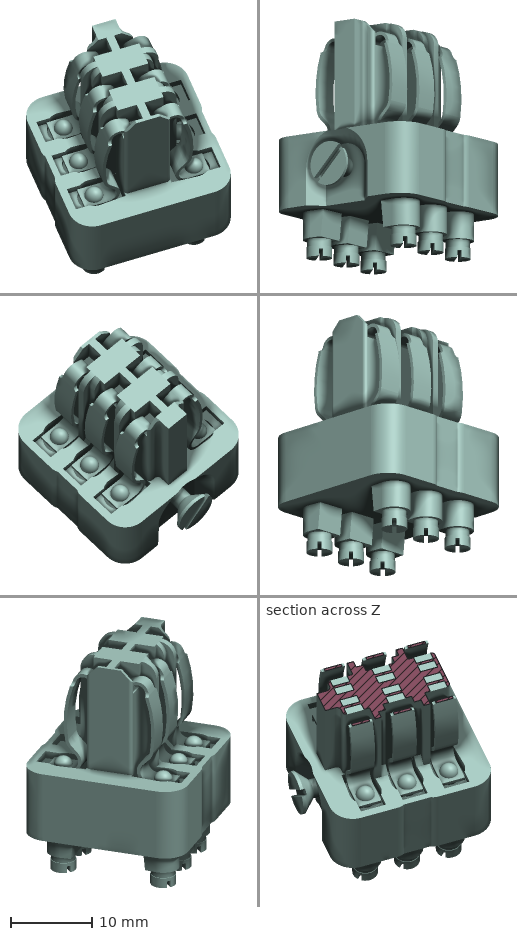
import cadquery as cq
import math

BLOCK_SIZE = 21.0
BLOCK_HEIGHT = 9.0
BLOCK_CORNER_RADIUS = 3.0
SIDE_RECESS_INNER_HALF = 1.77
SIDE_RECESS_OUTER_HALF = 2.65
SIDE_RECESS_DEPTH = 0.23

OVERALL_HEIGHT = 28.6
TOP_Z = 22.97
CONTACT_PITCH = 5.5
CONTACT_Y = 6.55

BAR_END_X = 8.92
BAR_HALF_WIDTH = 1.55
CORE_HALF_WIDTH = 3.0
CORE_HALF_LENGTH = 7.04
CORE_INNER_FILLET = 0.55
CORE_OUTER_FILLET = 0.45
SLOT_WIDTH = 2.2
SLOT_INNER_Y = 0.51
SLOT_FLOOR_Z = 19.88

SCREWDRIVER_SLOT_ANGLE = 45

FIN_INNER_X = 1.85
FIN_SPLIT_X = 2.77
FIN_OUTER_X = 3.65
TALL_FIN_REACH = 4.98
TALL_FIN_ARC_Z = 20.95
LOW_FIN_REACH = 4.0
LOW_FIN_ARC_Z = 21.2

WELL_RADIUS = 2.03
WELL_SIDE_DRAFT = 4
WELL_FLOOR_Z = 7.3
STRIP_REST_Z = 8.07
END_POCKET_WIDTH = 3.3
END_POCKET_OUTER_Y = 9.5

STRIP_WIDTH = 3.03
STRIP_THICKNESS = 0.43
STRIP_END_Y = 8.2
NECK_WIDTH = 2.0
SHOULDER_Z = 19.82
CROWN_Y = 3.55
CROWN_TOP_Z = 21.48
CROWN_RADIUS = 1.2
CROWN_OUTER_ANGLE = 68
CROWN_INNER_ANGLE = 22
CROWN_FLAT_LENGTH = 0.83
HOOK_RADIUS = 0.85
BOW_RADIUS = 15.02
BOW_LOWER_ANGLE = 9
KNEE_RADIUS = 1.77
KNEE_ANGLE = 45
FOOT_RADIUS = 1.45
DOME_RADIUS = 1.17
DOME_RISE = 0.5
DOME_TOP_Z = BLOCK_HEIGHT + DOME_RISE

BOSS_LENGTH = 3.37
BOSS_INNER_Y_TOP = 4.5
BOSS_INNER_Y_BOTTOM = 4.85
PIN_NECK_DIAMETER = 3.0
PIN_COLLAR_DIAMETER = 3.2
PIN_COLLAR_LENGTH = 1.32
PIN_LENGTH = OVERALL_HEIGHT - TOP_Z
PIN_SLOT_WIDTH = 0.51
PIN_SLOT_DEPTH = 0.9

SCREW_PROTRUSION = 1.72
SCREW_HEAD_DIAMETER = 5.5
SCREW_SHANK_DIAMETER = 2.4
SCREW_RIM_THICKNESS = 0.43
SCREW_SLOT_WIDTH = 0.85
SCREW_SLOT_DEPTH = 0.72
SCREW_RECESS_RADIUS = 4.75
SCREW_RECESS_FLOOR_RADIUS = 3.0

HALF_BLOCK = BLOCK_SIZE / 2
SCREW_Z = BLOCK_HEIGHT / 2
SCREW_RECESS_DEPTH = SCREW_RECESS_RADIUS - SCREW_RECESS_FLOOR_RADIUS
CONTACT_XS = [i * CONTACT_PITCH for i in (-1, 0, 1)]
OVERLAP = 0.15


def box(x0, x1, y0, y1, z0, z1):
    return cq.Workplane("XY").box(x1 - x0, y1 - y0, z1 - z0, centered=False).translate((x0, y0, z0))


def with_y_mirror(shape):
    return shape.union(shape.mirror("XZ"))


def at_contacts(shape):
    """Repeat a shape built at X = 0 for the three contacts on both sides."""
    pair = with_y_mirror(shape)
    row = cq.Workplane("XY")
    for x in CONTACT_XS:
        row = row.union(pair.translate((x, 0, 0)))
    return row


def make_block():
    block = box(-HALF_BLOCK, HALF_BLOCK, -HALF_BLOCK, HALF_BLOCK, 0, BLOCK_HEIGHT)
    block = block.edges("|Z").fillet(BLOCK_CORNER_RADIUS)
    run = SIDE_RECESS_OUTER_HALF - SIDE_RECESS_INNER_HALF
    flank_radius = (run**2 + SIDE_RECESS_DEPTH**2) / (2 * SIDE_RECESS_DEPTH)
    floor_y = HALF_BLOCK - SIDE_RECESS_DEPTH
    recess = (
        cq.Workplane("XY")
        .moveTo(-SIDE_RECESS_OUTER_HALF, HALF_BLOCK)
        .radiusArc((-SIDE_RECESS_INNER_HALF, floor_y), flank_radius)
        .lineTo(SIDE_RECESS_INNER_HALF, floor_y)
        .radiusArc((SIDE_RECESS_OUTER_HALF, HALF_BLOCK), flank_radius)
        .close()
        .extrude(BLOCK_HEIGHT)
    )
    return block.cut(with_y_mirror(recess))


def make_screw_recess():
    """Countersunk recess around the screw, running out through the bottom of the block."""
    cone = cq.Workplane(
        cq.Solid.makeCone(
            SCREW_RECESS_RADIUS, SCREW_RECESS_FLOOR_RADIUS, SCREW_RECESS_DEPTH,
            cq.Vector(-HALF_BLOCK, 0, SCREW_Z), cq.Vector(1, 0, 0),
        )
    )
    floor_x = -HALF_BLOCK + SCREW_RECESS_DEPTH
    channel = (
        cq.Workplane("XY")
        .polyline([
            (-HALF_BLOCK, -SCREW_RECESS_RADIUS),
            (floor_x, -SCREW_RECESS_FLOOR_RADIUS),
            (floor_x, SCREW_RECESS_FLOOR_RADIUS),
            (-HALF_BLOCK, SCREW_RECESS_RADIUS),
        ])
        .close()
        .extrude(SCREW_Z)
    )
    return cone.union(channel)


def make_screw():
    head_x = -HALF_BLOCK - SCREW_PROTRUSION
    head_radius = SCREW_HEAD_DIAMETER / 2
    shank_radius = SCREW_SHANK_DIAMETER / 2
    cone_x = head_x + SCREW_RIM_THICKNESS
    shank_x = cone_x + head_radius - shank_radius
    end_x = -HALF_BLOCK + SCREW_RECESS_DEPTH + OVERLAP
    screw = (
        cq.Workplane("XY")
        .polyline([
            (head_x, 0), (head_x, head_radius), (cone_x, head_radius),
            (shank_x, shank_radius), (end_x, shank_radius), (end_x, 0),
        ])
        .close()
        .revolve(360, (0, 0, 0), (1, 0, 0))
    )
    slot = box(
        head_x, head_x + SCREW_SLOT_DEPTH,
        -SCREW_SLOT_WIDTH / 2, SCREW_SLOT_WIDTH / 2,
        -SCREW_HEAD_DIAMETER, SCREW_HEAD_DIAMETER,
    ).rotate((0, 0, 0), (1, 0, 0), SCREWDRIVER_SLOT_ANGLE)
    return screw.cut(slot).translate((0, 0, SCREW_Z))


def make_core():
    height = TOP_Z - BLOCK_HEIGHT + OVERLAP
    z0 = BLOCK_HEIGHT - OVERLAP
    body = box(-CORE_HALF_LENGTH, CORE_HALF_LENGTH, -CORE_HALF_WIDTH, CORE_HALF_WIDTH, z0, z0 + height)
    body = body.edges("|Z").fillet(CORE_OUTER_FILLET)
    bar = box(-BAR_END_X, 0, -BAR_HALF_WIDTH, BAR_HALF_WIDTH, z0, z0 + height)
    core = body.union(bar)
    corner = cq.selectors.BoxSelector(
        (-CORE_HALF_LENGTH - OVERLAP, -BAR_HALF_WIDTH - OVERLAP, z0),
        (-CORE_HALF_LENGTH + OVERLAP, BAR_HALF_WIDTH + OVERLAP, TOP_Z),
    )
    core = core.edges("|Z").edges(corner).fillet(CORE_INNER_FILLET)

    bevel_size = CORE_HALF_WIDTH - BAR_HALF_WIDTH
    wall_x = CONTACT_PITCH + SLOT_WIDTH / 2
    bevel = (
        cq.Workplane("YZ")
        .polyline([
            (BAR_HALF_WIDTH, TOP_Z), (CORE_HALF_WIDTH, TOP_Z), (CORE_HALF_WIDTH, TOP_Z - bevel_size),
        ])
        .close()
        .extrude(BAR_END_X - wall_x)
        .translate((wall_x, 0, 0))
    )
    bevel = with_y_mirror(bevel)
    core = core.cut(bevel).cut(bevel.mirror("YZ"))

    slot = box(-SLOT_WIDTH / 2, SLOT_WIDTH / 2, SLOT_INNER_Y, CORE_HALF_WIDTH, SLOT_FLOOR_Z, TOP_Z)
    return core.cut(at_contacts(slot))


def make_fin(x0, x1, reach, arc_z):
    """Plate with an upright face that curves inward from arc_z to the top edge of the core."""
    z0 = BLOCK_HEIGHT - OVERLAP
    return (
        cq.Workplane("YZ")
        .moveTo(0, z0)
        .lineTo(reach, z0)
        .lineTo(reach, arc_z)
        .tangentArcPoint((CORE_HALF_WIDTH, TOP_Z), relative=False)
        .lineTo(0, TOP_Z)
        .close()
        .extrude(x1 - x0)
        .translate((x0, 0, 0))
    )


def make_fins():
    tall = make_fin(FIN_SPLIT_X, FIN_OUTER_X, TALL_FIN_REACH, TALL_FIN_ARC_Z)
    low = make_fin(FIN_INNER_X, FIN_SPLIT_X, LOW_FIN_REACH, LOW_FIN_ARC_Z)
    ramp_size = TALL_FIN_REACH - LOW_FIN_REACH
    ramp = (
        cq.Workplane("YZ")
        .polyline([
            (0, BLOCK_HEIGHT - OVERLAP), (TALL_FIN_REACH, BLOCK_HEIGHT - OVERLAP),
            (TALL_FIN_REACH, BLOCK_HEIGHT), (LOW_FIN_REACH, BLOCK_HEIGHT + ramp_size),
            (0, BLOCK_HEIGHT + ramp_size),
        ])
        .close()
        .extrude(FIN_SPLIT_X - FIN_INNER_X)
        .translate((FIN_INNER_X, 0, 0))
    )
    fins = with_y_mirror(tall.union(low).union(ramp))
    return fins.union(fins.mirror("YZ"))


def make_well_prism(z0, z1):
    """Round outer end with straight sides that narrow slightly toward the core."""
    draft = math.radians(WELL_SIDE_DRAFT)
    tangent_x = WELL_RADIUS * math.cos(draft)
    tangent_y = CONTACT_Y - WELL_RADIUS * math.sin(draft)
    inner_x = tangent_x - (tangent_y - CORE_HALF_WIDTH) * math.tan(draft)
    return (
        cq.Workplane("XY")
        .moveTo(-inner_x, CORE_HALF_WIDTH)
        .lineTo(-tangent_x, tangent_y)
        .threePointArc((0, CONTACT_Y + WELL_RADIUS), (tangent_x, tangent_y))
        .lineTo(inner_x, CORE_HALF_WIDTH)
        .close()
        .extrude(z1 - z0)
        .translate((0, 0, z0))
    )


def make_well():
    """Well reaching below the strip, with a shallower pocket past the strip end."""
    end_pocket = box(
        -END_POCKET_WIDTH / 2, END_POCKET_WIDTH / 2, CONTACT_Y, END_POCKET_OUTER_Y, STRIP_REST_Z, BLOCK_HEIGHT
    )
    return make_well_prism(WELL_FLOOR_Z, BLOCK_HEIGHT).union(end_pocket)


def make_boss():
    """Boss under the block whose inner end leans outward toward its tip."""
    boss = make_well_prism(-BOSS_LENGTH, OVERLAP)
    lean = (
        cq.Workplane("YZ")
        .polyline([
            (0, OVERLAP), (BOSS_INNER_Y_TOP, OVERLAP), (BOSS_INNER_Y_TOP, 0),
            (BOSS_INNER_Y_BOTTOM, -BOSS_LENGTH), (0, -BOSS_LENGTH),
        ])
        .close()
        .extrude(WELL_RADIUS, both=True)
    )
    return boss.cut(lean)


def make_pin():
    neck = cq.Workplane("XY").circle(PIN_NECK_DIAMETER / 2).extrude(-PIN_LENGTH)
    collar = (
        cq.Workplane("XY").workplane(offset=-PIN_LENGTH)
        .circle(PIN_COLLAR_DIAMETER / 2).extrude(PIN_COLLAR_LENGTH)
    )
    slot = box(
        -PIN_COLLAR_DIAMETER, PIN_COLLAR_DIAMETER, -PIN_SLOT_WIDTH / 2, PIN_SLOT_WIDTH / 2,
        -PIN_LENGTH, -PIN_LENGTH + PIN_SLOT_DEPTH,
    ).rotate((0, 0, 0), (0, 0, 1), SCREWDRIVER_SLOT_ANGLE)
    return neck.union(collar).cut(slot)


def polar(center, radius, degrees):
    """Point at an angle above the outward Y direction, in the YZ plane."""
    angle = math.radians(degrees)
    return (center[0] + radius * math.cos(angle), center[1] + radius * math.sin(angle))


def make_spring():
    """Flat strip: hooked crown in the core slot, bowed side, knee and foot lying in the well."""
    half = STRIP_THICKNESS / 2
    crown = (CROWN_Y, CROWN_TOP_Z - half - CROWN_RADIUS)
    bow_start = 90 - CROWN_OUTER_ANGLE
    flat_start = 90 + CROWN_INNER_ANGLE
    flat_end = polar(polar(crown, CROWN_RADIUS, flat_start), CROWN_FLAT_LENGTH, flat_start + 90)
    hook = polar(flat_end, -HOOK_RADIUS, flat_start)
    hook_end = polar(hook, HOOK_RADIUS, 180)
    bow = polar(crown, CROWN_RADIUS - BOW_RADIUS, bow_start)
    knee = polar(bow, BOW_RADIUS - KNEE_RADIUS, -BOW_LOWER_ANGLE)
    knee_end = polar(knee, KNEE_RADIUS, -KNEE_ANGLE)

    foot_z = STRIP_REST_Z + half + FOOT_RADIUS
    drop = knee_end[1] - (foot_z + FOOT_RADIUS * math.sin(math.radians(KNEE_ANGLE)))
    foot_start = (knee_end[0] - drop / math.tan(math.radians(KNEE_ANGLE)), knee_end[1] - drop)
    foot = polar(foot_start, FOOT_RADIUS, -KNEE_ANGLE)
    foot_mid_angle = (180 - KNEE_ANGLE + 270) / 2

    path = (
        cq.Workplane("YZ")
        .moveTo(hook_end[0], SLOT_FLOOR_Z)
        .lineTo(*hook_end)
        .threePointArc(polar(hook, HOOK_RADIUS, (180 + flat_start) / 2), flat_end)
        .lineTo(*polar(crown, CROWN_RADIUS, flat_start))
        .threePointArc(polar(crown, CROWN_RADIUS, 90), polar(crown, CROWN_RADIUS, bow_start))
        .threePointArc(polar(bow, BOW_RADIUS, 0), polar(bow, BOW_RADIUS, -BOW_LOWER_ANGLE))
        .threePointArc(polar(knee, KNEE_RADIUS, -(BOW_LOWER_ANGLE + KNEE_ANGLE) / 2), knee_end)
        .lineTo(*foot_start)
        .threePointArc(polar(foot, FOOT_RADIUS, foot_mid_angle), polar(foot, FOOT_RADIUS, 270))
        .lineTo(STRIP_END_Y, STRIP_REST_Z + half)
    )
    section = cq.Workplane("XY", origin=(0, hook_end[0], SLOT_FLOOR_Z))
    strip = section.rect(STRIP_WIDTH, STRIP_THICKNESS).sweep(path)

    half_width = STRIP_WIDTH / 2
    half_neck = NECK_WIDTH / 2
    shoulder = half_width - half_neck
    outline = (
        cq.Workplane("XZ")
        .moveTo(-half_width, 0)
        .lineTo(-half_width, SHOULDER_Z)
        .radiusArc((-half_neck, SHOULDER_Z + shoulder), -shoulder)
        .lineTo(-half_neck, TOP_Z)
        .lineTo(half_neck, TOP_Z)
        .lineTo(half_neck, SHOULDER_Z + shoulder)
        .radiusArc((half_width, SHOULDER_Z), -shoulder)
        .lineTo(half_width, 0)
        .close()
        .extrude(-BLOCK_SIZE)
    )
    return strip.intersect(outline)


def make_dome():
    """Domed screw head on the foot of the spring, on a post that stands on the well floor."""
    strip_top = STRIP_REST_Z + STRIP_THICKNESS
    dome_height = DOME_TOP_Z - strip_top
    sphere_radius = (DOME_RADIUS**2 + dome_height**2) / (2 * dome_height)
    return (
        cq.Workplane("XZ")
        .moveTo(0, WELL_FLOOR_Z - OVERLAP)
        .lineTo(DOME_RADIUS, WELL_FLOOR_Z - OVERLAP)
        .lineTo(DOME_RADIUS, strip_top)
        .radiusArc((0, DOME_TOP_Z), -sphere_radius)
        .close()
        .revolve(360, (0, 0, 0), (0, 1, 0))
    )


contact = make_spring().union(make_dome().translate((0, CONTACT_Y, 0)))

result = make_block().cut(make_screw_recess()).union(make_screw())
result = result.cut(at_contacts(make_well()))
result = result.union(make_core()).union(make_fins())
result = result.union(at_contacts(make_boss()))
for pin_x in CONTACT_XS:
    for pin_y in (-CONTACT_Y, CONTACT_Y):
        result = result.union(make_pin().translate((pin_x, pin_y, 0)))
result = result.union(at_contacts(contact))